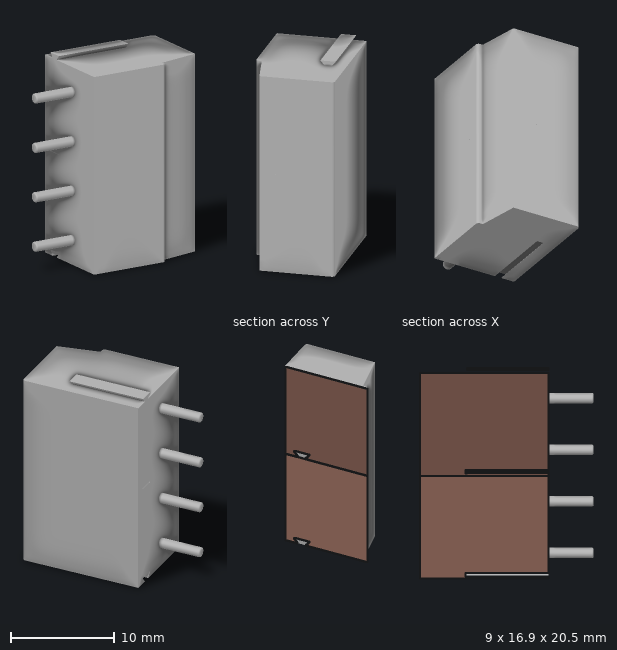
import cadquery as cq

BLOCK_COUNT = 2
BLOCK_WIDTH = 9.0
BLOCK_DEPTH = 12.5
BLOCK_HEIGHT = 10.0
EDGE_RADIUS = 0.3

BACK_WIDTH = 7.5
LEDGE_START = 8.38
LEDGE_DEPTH = 8.2

TONGUE_CENTER = 1.8
TONGUE_TIP_WIDTH = 1.54
TONGUE_ROOT_WIDTH = 0.7
TONGUE_HEIGHT = 0.5
TONGUE_LENGTH = 7.95
TONGUE_FLARE = (TONGUE_TIP_WIDTH - TONGUE_ROOT_WIDTH) / 2 / TONGUE_HEIGHT
GROOVE_END_GAP = 0.06
GROOVE_SIDE_GAP = 0.01

PINS_PER_BLOCK = 2
PIN_PITCH = BLOCK_HEIGHT / PINS_PER_BLOCK
PIN_DIAMETER = 1.0
PIN_LENGTH = 4.39
PIN_TIP_ROUNDING = 0.16
PIN_X = 5.0


def housing_shell():
    """Plain block with the sloped corner, ledge and rounded back edges."""
    shell = (
        cq.Workplane("XY")
        .polyline([
            (0, 0),
            (BLOCK_WIDTH, 0),
            (BLOCK_WIDTH, LEDGE_DEPTH),
            (LEDGE_START, LEDGE_DEPTH),
            (BACK_WIDTH, BLOCK_DEPTH),
            (0, BLOCK_DEPTH),
        ])
        .close()
        .extrude(BLOCK_HEIGHT)
    )
    rounded_corners = [(0, BLOCK_DEPTH), (BLOCK_WIDTH, LEDGE_DEPTH)]
    for x, y in rounded_corners:
        corner = cq.selectors.NearestToPointSelector((x, y, BLOCK_HEIGHT / 2))
        shell = shell.edges("|Z").edges(corner).fillet(EDGE_RADIUS)
    return shell


def dovetail(base_z, height, root_width, length):
    """Bar that widens upward from base_z and runs back from the pin face."""
    half_root = root_width / 2
    half_tip = half_root + TONGUE_FLARE * height
    tip_z = base_z + height
    return (
        cq.Workplane("XZ")
        .polyline([
            (TONGUE_CENTER - half_root, base_z),
            (TONGUE_CENTER + half_root, base_z),
            (TONGUE_CENTER + half_tip, tip_z),
            (TONGUE_CENTER - half_tip, tip_z),
        ])
        .close()
        .extrude(-length)
    )


def tongue():
    """Dovetail standing on top of the block."""
    return dovetail(BLOCK_HEIGHT, TONGUE_HEIGHT, TONGUE_ROOT_WIDTH, TONGUE_LENGTH)


def groove():
    """Cutter for the bottom slot that takes the tongue of the block below with a small gap."""
    return dovetail(
        0,
        TONGUE_HEIGHT + GROOVE_END_GAP,
        TONGUE_ROOT_WIDTH + 2 * GROOVE_SIDE_GAP,
        TONGUE_LENGTH + GROOVE_END_GAP,
    )


def pin(z):
    """Round pin with a rounded tip, standing out of the pin face."""
    return (
        cq.Workplane("XZ")
        .center(PIN_X, z)
        .circle(PIN_DIAMETER / 2)
        .extrude(PIN_LENGTH)
        .faces("<Y")
        .edges()
        .fillet(PIN_TIP_ROUNDING)
    )


def terminal_block(base_z):
    """One block with its tongue on top, its groove below and its pins."""
    block = housing_shell()
    block = block.cut(groove())
    block = block.union(tongue())
    for index in range(PINS_PER_BLOCK):
        block = block.union(pin(PIN_PITCH / 2 + index * PIN_PITCH))
    return block.translate((0, 0, base_z))


terminal_blocks = [terminal_block(index * BLOCK_HEIGHT) for index in range(BLOCK_COUNT)]

result = cq.Compound.makeCompound([block.solids().val() for block in terminal_blocks])